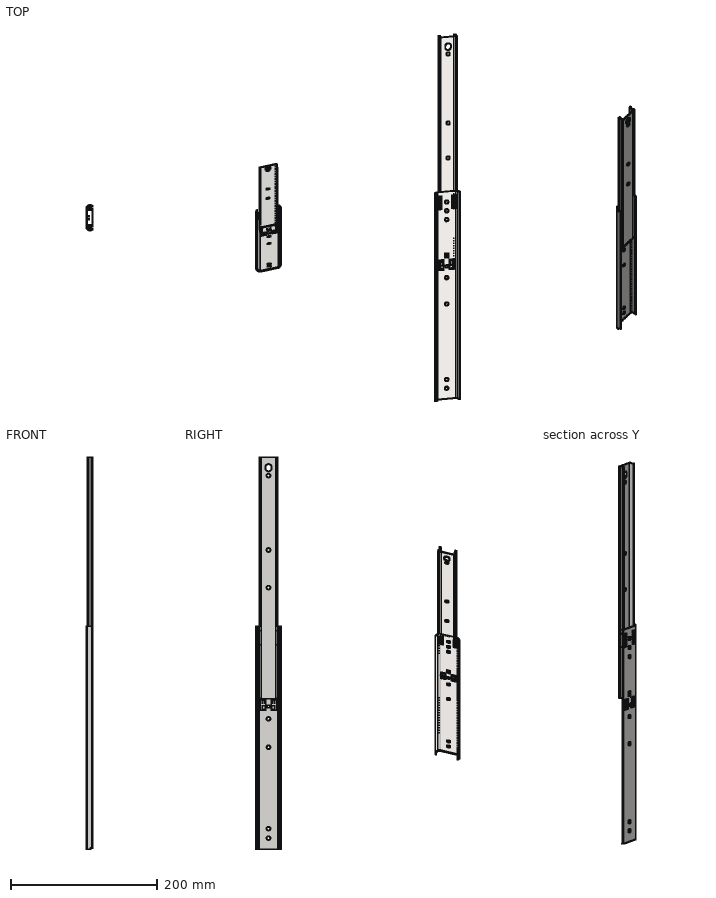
import cadquery as cq
import math

DEPTH = 9.5
WIDTH = 35.08
EXTENDED_HEIGHT = 535.9

OUTER_LENGTH = 305.0
SHEET = 1.6
WEB_FLAT_WIDTH = 25.0
BULGE_RADIUS = 4.4
BULGE_CREST_X = 5.5
BULGE_START_X = 1.6
BULGE_END_X = 8.6
RACE_START_X = 3.0
RACE_END_X = 7.5
LIP_Y_RANGE = (14.9, 16.0)
LIP_NOTCH_DEPTH = 3.2
LIP_NOTCH_HEIGHT = 1.6
OUTER_HOLE_HEIGHTS = (15.5, 28.4, 139.6, 178.2, 263.6, 276.6, 289.6)

INNER_BOTTOM = 206.0
INNER_WIDTH = 24.8
INNER_BACK = 1.8
INNER_WEB = 1.2
INNER_WALL = 2.5
RACE_DEPTH = 1.2
RACE_HALF_HEIGHT = 1.7
RACE_X = 5.4
INNER_HOLE_HEIGHTS = (357.7, 409.0, 510.7)
SLOT_WIDTH = 8.0
SLOT_LENGTH = 9.7
SLOT_HEIGHT = 521.4

SCREW_DIAMETER = 4.9

PAD_BOTTOM = 279.6
PAD_TOP = 298.6
PAD_INNER_Y = 7.3
PAD_OUTER_Y = 13.9
PAD_RECESS = 0.4
PAD_CLEARANCE = 0.1
PAD_REACH = 7.0
PAD_GROOVE_Y = 10.5
PAD_GROOVE_WIDTH = 3.2
PAD_GROOVE_MARGIN = 1.0
PAD_GROOVE_DEPTH = 1.0

STOP_BOTTOM = 190.2
STOP_TOP = 204.6
STOP_INNER_Y = 4.0
STOP_OUTER_Y = 11.0
STOP_BAR_BOTTOM = 194.8
STOP_BAR_TOP = 196.6
STOP_NUB_WIDTH = 3.0
STOP_NUB_DROP = 1.6
STOP_POCKET_DEPTH = 1.2
STOP_POCKET_OUTER_Y = 8.7
STOP_RAMP_INNER_Y = 6.0
STOP_RAMP_BOTTOM = 198.0
STOP_RAMP_TOP = 203.8
STOP_SQUARE_INNER_Y = 4.4
STOP_SQUARE_BOTTOM = 191.5
STOP_SQUARE_TOP = 196.4

SLIT_WIDTH = 5.0
SLIT_HEIGHT = 1.6
SLIT_HEIGHTS = (208.6, 213.2)
BUMP_Y = 2.2
BUMP_WIDTH = 1.0
BUMP_HEIGHT = 2.0
BUMP_REACH = 2.5

SIDES = (1, -1)


def block(x_range, y_range, z_range):
    """Box spanning the given ranges of X, Y and Z."""
    (x0, x1), (y0, y1), (z0, z1) = x_range, y_range, z_range
    return cq.Workplane("XY").box(x1 - x0, y1 - y0, z1 - z0, centered=False).translate((x0, y0, z0))


def side_range(side, near, far):
    """Y range from near to far on the +Y (1) or -Y (-1) side."""
    return tuple(sorted((side * near, side * far)))


def cross_holes(diameter, heights):
    """Cylinders along X on the centre line, one at each height."""
    return (
        cq.Workplane("YZ")
        .pushPoints([(0, height) for height in heights])
        .circle(diameter / 2)
        .extrude(DEPTH)
    )


def curled_channel():
    """Outer rail section: half of it is drawn from the centre line, then mirrored."""
    flat_y = WEB_FLAT_WIDTH / 2
    crest_y = WIDTH / 2
    race_radius = BULGE_RADIUS - SHEET
    lip_inner_y, lip_outer_y = LIP_Y_RANGE

    def flange_point(x, radius):
        """Point at x on the flange circle of the given radius."""
        return (x, crest_y - BULGE_RADIUS + math.sqrt(radius**2 - (x - BULGE_CREST_X) ** 2))

    half = (
        cq.Workplane("XY")
        .lineTo(0, flat_y)
        .tangentArcPoint(flange_point(BULGE_START_X, BULGE_RADIUS), relative=False)
        .threePointArc((BULGE_CREST_X, crest_y), flange_point(BULGE_END_X, BULGE_RADIUS))
        .lineTo(DEPTH, lip_outer_y)
        .lineTo(DEPTH, lip_inner_y)
        .lineTo(*flange_point(RACE_END_X, race_radius))
        .threePointArc((BULGE_CREST_X, crest_y - SHEET), flange_point(RACE_START_X, race_radius))
        .lineTo(SHEET, flat_y)
        .lineTo(SHEET, 0)
        .close()
        .extrude(OUTER_LENGTH)
    )
    return half.union(half.mirror("XZ"))


def stop_outline(x_range):
    """H-shaped plate: two legs joined by a bar with a small nub below it."""
    legs_z = (STOP_BOTTOM, STOP_TOP)
    bar_z = (STOP_BAR_BOTTOM, STOP_BAR_TOP)
    nub_z = (STOP_BAR_BOTTOM - STOP_NUB_DROP, STOP_BAR_BOTTOM)
    plate = block(x_range, (-STOP_INNER_Y, STOP_INNER_Y), bar_z)
    plate = plate.union(block(x_range, (-STOP_NUB_WIDTH / 2, STOP_NUB_WIDTH / 2), nub_z))
    for side in SIDES:
        plate = plate.union(block(x_range, side_range(side, STOP_INNER_Y, STOP_OUTER_Y), legs_z))
    return plate


def make_outer_rail():
    rail = curled_channel()
    rail = rail.cut(block((DEPTH - LIP_NOTCH_DEPTH, DEPTH), (-WIDTH, WIDTH), (0, LIP_NOTCH_HEIGHT)))
    rail = rail.cut(cross_holes(SCREW_DIAMETER, OUTER_HOLE_HEIGHTS))
    for side in SIDES:
        window_y = side_range(side, PAD_INNER_Y, PAD_OUTER_Y)
        rail = rail.cut(block((0, PAD_REACH), window_y, (PAD_BOTTOM, PAD_TOP)))
    rail = rail.cut(stop_outline((0, SHEET)))
    for height in SLIT_HEIGHTS:
        slit_z = (height - SLIT_HEIGHT / 2, height + SLIT_HEIGHT / 2)
        rail = rail.cut(block((0, SHEET), (-SLIT_WIDTH / 2, SLIT_WIDTH / 2), slit_z))
    bump_z = sum(SLIT_HEIGHTS) / len(SLIT_HEIGHTS)
    for side in SIDES:
        bump_y = side_range(side, BUMP_Y - BUMP_WIDTH / 2, BUMP_Y + BUMP_WIDTH / 2)
        bump_range = (bump_z - BUMP_HEIGHT / 2, bump_z + BUMP_HEIGHT / 2)
        rail = rail.union(block((SHEET, SHEET + BUMP_REACH), bump_y, bump_range))
    return rail


def make_inner_rail():
    rail_z = (INNER_BOTTOM, EXTENDED_HEIGHT)
    half_width = INNER_WIDTH / 2
    rail = block((INNER_BACK, DEPTH), (-half_width, half_width), rail_z)
    clear_y = half_width - INNER_WALL
    rail = rail.cut(block((INNER_BACK, DEPTH - INNER_WEB), (-clear_y, clear_y), rail_z))
    for side in SIDES:
        race = (
            cq.Workplane("XY", origin=(0, 0, INNER_BOTTOM))
            .moveTo(RACE_X - RACE_HALF_HEIGHT, side * half_width)
            .threePointArc(
                (RACE_X, side * (half_width - RACE_DEPTH)),
                (RACE_X + RACE_HALF_HEIGHT, side * half_width),
            )
            .close()
            .extrude(EXTENDED_HEIGHT - INNER_BOTTOM)
        )
        rail = rail.cut(race)
    rail = rail.cut(cross_holes(SCREW_DIAMETER, INNER_HOLE_HEIGHTS))
    slot = (
        cq.Workplane("YZ", origin=(0, 0, SLOT_HEIGHT))
        .slot2D(SLOT_LENGTH, SLOT_WIDTH, 90)
        .extrude(DEPTH)
    )
    return rail.cut(slot)


def make_guide_pad(side):
    """Pad that fills a window of the outer web and reaches in beside the inner rail."""
    pad_z = (PAD_BOTTOM, PAD_TOP)
    pad = block((PAD_RECESS, SHEET), side_range(side, PAD_INNER_Y, PAD_OUTER_Y), pad_z)
    beside_rail = side_range(side, INNER_WIDTH / 2 + PAD_CLEARANCE, PAD_OUTER_Y)
    pad = pad.union(block((PAD_RECESS, PAD_REACH), beside_rail, pad_z))
    groove_y = side_range(side, PAD_GROOVE_Y - PAD_GROOVE_WIDTH / 2, PAD_GROOVE_Y + PAD_GROOVE_WIDTH / 2)
    groove_z = (PAD_BOTTOM + PAD_GROOVE_MARGIN, PAD_TOP - PAD_GROOVE_MARGIN)
    return pad.cut(block((0, PAD_GROOVE_DEPTH), groove_y, groove_z))


def make_stop_clip():
    clip = stop_outline((0, SHEET))
    for side in SIDES:
        ramp_y = side_range(side, STOP_RAMP_INNER_Y, STOP_POCKET_OUTER_Y)
        square_y = side_range(side, STOP_SQUARE_INNER_Y, STOP_POCKET_OUTER_Y)
        ramp = (
            cq.Workplane("XZ", origin=(0, ramp_y[1], 0))
            .moveTo(0, STOP_RAMP_BOTTOM)
            .lineTo(STOP_POCKET_DEPTH, STOP_RAMP_TOP)
            .lineTo(0, STOP_RAMP_TOP)
            .close()
            .extrude(STOP_POCKET_OUTER_Y - STOP_RAMP_INNER_Y)
        )
        square = block((0, STOP_POCKET_DEPTH), square_y, (STOP_SQUARE_BOTTOM, STOP_SQUARE_TOP))
        clip = clip.cut(ramp).cut(square)
    return clip


outer_rail = make_outer_rail()
inner_rail = make_inner_rail()
guide_pads = [make_guide_pad(side) for side in SIDES]
stop_clip = make_stop_clip()

result = cq.Compound.makeCompound(
    [outer_rail.val(), inner_rail.val(), *[pad.val() for pad in guide_pads], stop_clip.val()]
)